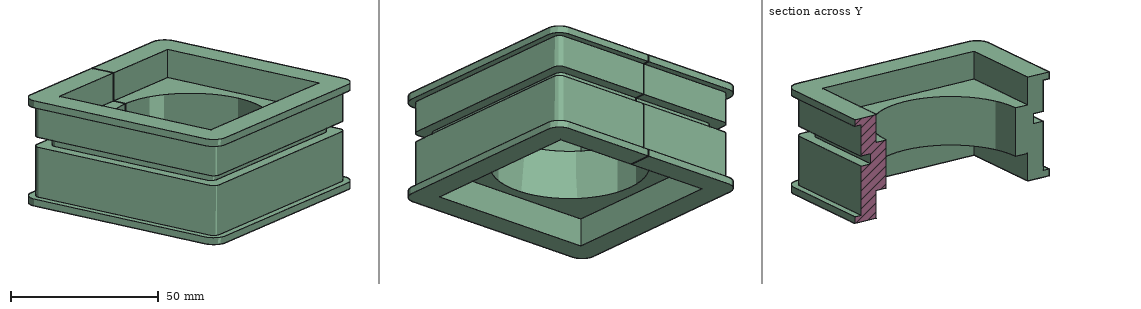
import cadquery as cq

total_height = 37.5
flange_thickness = 2.5
groove_bottom = 20.25
groove_height = 3.5

flange_side = 81.0
flange_corner = 5.0
flange_overhang = 2.5
groove_depth = 4.0
body_side = flange_side - 2 * flange_overhang
body_corner = flange_corner - flange_overhang
groove_side = body_side - 2 * groove_depth
groove_corner = 2.5

recess_side = 63.0
recess_depth = 10.0
bore_diameter = 54.0
bore_offset = 0.5
slit_width = 0.4


def square_block(side, bottom, height):
    """Sharp-cornered square block standing on z = bottom."""
    return cq.Workplane("XY").workplane(offset=bottom).rect(side, side).extrude(height)


def rounded_square(side, corner, bottom, height):
    """Square block with rounded vertical edges, standing on z = bottom."""
    return square_block(side, bottom, height).edges("|Z").fillet(corner)


def outer_block():
    """Body with a flange at each end and a groove all around."""
    block = rounded_square(body_side, body_corner, 0, total_height)
    for bottom in (0, total_height - flange_thickness):
        block = block.union(rounded_square(flange_side, flange_corner, bottom, flange_thickness))
    band = square_block(flange_side, groove_bottom, groove_height)
    core = rounded_square(groove_side, groove_corner, groove_bottom, groove_height)
    return block.cut(band.cut(core))


def recess(bottom):
    """Square pocket volume standing on z = bottom."""
    return square_block(recess_side, bottom, recess_depth)


def bore():
    """Round opening through the full height."""
    return cq.Workplane("XY").center(bore_offset, 0).circle(bore_diameter / 2).extrude(total_height)


def slit():
    """Narrow cut from the bore out through the -X wall."""
    length = flange_side / 2
    return cq.Workplane("XY").center(-length / 2, 0).rect(length, slit_width).extrude(total_height)


result = outer_block()
for recess_bottom in (0, total_height - recess_depth):
    result = result.cut(recess(recess_bottom))
result = result.cut(bore()).cut(slit())